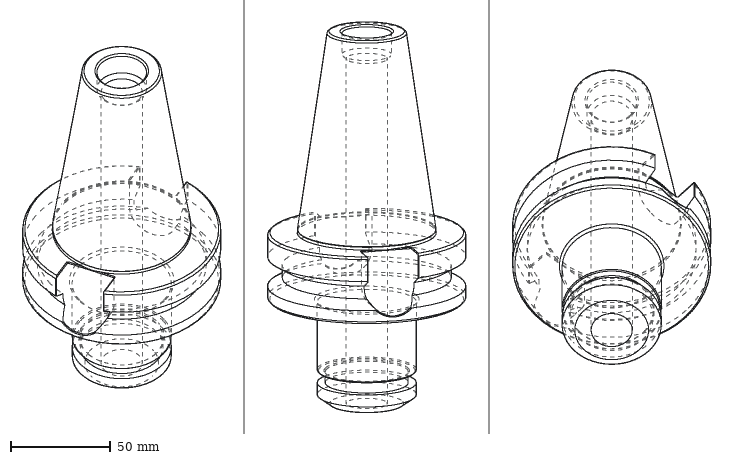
import cadquery as cq

TOTAL_HEIGHT = 193.8

SHANK_RADIUS = 25.0
SHANK_END_RADIUS = 18.6
END_BEVEL_HEIGHT = 4.7
RING_GROOVE_RADIUS = 21.0
RING_GROOVE_BOTTOM = 10.9
RING_GROOVE_TOP = 17.0
GROOVE_EDGE_BREAK = 0.5
SHANK_ROOT_FLARE = 1.4

FLANGE_RADIUS = 50.0
FLANGE_BOTTOM = 54.3
FLANGE_TOP = 89.0
FLANGE_EDGE_BREAK = 1.2
V_GROOVE_RADIUS = 42.6
V_GROOVE_LOWER_RIM = 61.2
V_GROOVE_FLOOR_BOTTOM = 65.5
V_GROOVE_FLOOR_TOP = 72.0
V_GROOVE_UPPER_RIM = 76.4

NECK_RADIUS = 34.7
NECK_WAIST = 90.3
NECK_FOOT_RADIUS = 35.0
TAPER_BASE = 90.7
TAPER_TOP_RADIUS = 20.0
TAPER_SLOPE = 7 / 48
TAPER_BASE_RADIUS = TAPER_TOP_RADIUS + (TOTAL_HEIGHT - TAPER_BASE) * TAPER_SLOPE
TAPER_EDGE_BREAK = 1.0

BORE_RADIUS = 20.7 / 2
COUNTERBORE_RADIUS = 25.0 / 2
COUNTERBORE_DEPTH = 12.0
BORE_MOUTH_BREAK = 1.0
COUNTERBORE_BOTTOM = TOTAL_HEIGHT - COUNTERBORE_DEPTH
SEAT_BOTTOM = COUNTERBORE_BOTTOM - (COUNTERBORE_RADIUS - BORE_RADIUS)

SLOT_WIDTH = 26.2
SLOT_FLOOR_OFFSET = 35.3
SLOT_BOTTOM = 58.0
SLOT_EDGE_BREAK = 0.48
SLOT_FLOOR_FILLET = 0.4
SLOT_ARC_CENTER = SLOT_BOTTOM + SLOT_WIDTH / 2


def revolve_profile(points):
    """Revolve a closed outline of (radius, height) points about Z."""
    return cq.Workplane("XZ").polyline(points).close().revolve(360, (0, 0), (0, 1))


def shank_and_taper():
    return revolve_profile([
        (0, 0),
        (SHANK_END_RADIUS, 0),
        (SHANK_RADIUS, END_BEVEL_HEIGHT),
        (SHANK_RADIUS, RING_GROOVE_BOTTOM),
        (RING_GROOVE_RADIUS, RING_GROOVE_BOTTOM),
        (RING_GROOVE_RADIUS, RING_GROOVE_TOP - GROOVE_EDGE_BREAK),
        (RING_GROOVE_RADIUS + GROOVE_EDGE_BREAK, RING_GROOVE_TOP),
        (SHANK_RADIUS - GROOVE_EDGE_BREAK, RING_GROOVE_TOP),
        (SHANK_RADIUS, RING_GROOVE_TOP + GROOVE_EDGE_BREAK),
        (SHANK_RADIUS, FLANGE_BOTTOM - SHANK_ROOT_FLARE),
        (SHANK_RADIUS + SHANK_ROOT_FLARE, FLANGE_BOTTOM),
        (NECK_FOOT_RADIUS, FLANGE_BOTTOM),
        (NECK_FOOT_RADIUS, FLANGE_TOP),
        (NECK_RADIUS, NECK_WAIST),
        (TAPER_BASE_RADIUS, TAPER_BASE),
        (TAPER_TOP_RADIUS + TAPER_EDGE_BREAK * TAPER_SLOPE, TOTAL_HEIGHT - TAPER_EDGE_BREAK),
        (TAPER_TOP_RADIUS - TAPER_EDGE_BREAK, TOTAL_HEIGHT),
        (0, TOTAL_HEIGHT),
    ])


def flange_envelope():
    return revolve_profile([
        (0, FLANGE_BOTTOM),
        (FLANGE_RADIUS - FLANGE_EDGE_BREAK, FLANGE_BOTTOM),
        (FLANGE_RADIUS, FLANGE_BOTTOM + FLANGE_EDGE_BREAK),
        (FLANGE_RADIUS, V_GROOVE_LOWER_RIM),
        (V_GROOVE_RADIUS, V_GROOVE_FLOOR_BOTTOM),
        (V_GROOVE_RADIUS, V_GROOVE_FLOOR_TOP),
        (FLANGE_RADIUS, V_GROOVE_UPPER_RIM),
        (FLANGE_RADIUS, FLANGE_TOP - FLANGE_EDGE_BREAK),
        (FLANGE_RADIUS - FLANGE_EDGE_BREAK, FLANGE_TOP),
        (0, FLANGE_TOP),
    ])


def drive_slot(side):
    """Round-bottomed slot cutter, open at the top; side is -1 or +1 along Y."""
    half_width = SLOT_WIDTH / 2
    cutter = (
        cq.Workplane("XZ", origin=(0, side * SLOT_FLOOR_OFFSET, 0))
        .moveTo(-half_width, TOTAL_HEIGHT)
        .lineTo(-half_width, SLOT_ARC_CENTER)
        .threePointArc((0, SLOT_BOTTOM), (half_width, SLOT_ARC_CENTER))
        .lineTo(half_width, TOTAL_HEIGHT)
        .close()
        .extrude(-side * FLANGE_RADIUS)
    )
    floor = "<Y" if side > 0 else ">Y"
    return cutter.faces(floor).edges().fillet(SLOT_FLOOR_FILLET)


def flange():
    """Slot a plain disc, break the outer slot edges, then trim to the flange outline."""
    disc = (
        cq.Workplane("XY", origin=(0, 0, FLANGE_BOTTOM))
        .circle(FLANGE_RADIUS)
        .extrude(FLANGE_TOP - FLANGE_BOTTOM)
    )
    for side in (-1, 1):
        disc = disc.cut(drive_slot(side))
    reach = SLOT_FLOOR_OFFSET + 2 * SLOT_FLOOR_FILLET
    for side in (-1, 1):
        near, far = sorted((side * reach, side * FLANGE_RADIUS))
        outline = cq.selectors.BoxSelector(
            (-SLOT_WIDTH, near, SLOT_BOTTOM), (SLOT_WIDTH, far, TOTAL_HEIGHT)
        )
        disc = disc.edges(outline).chamfer(SLOT_EDGE_BREAK)
    return disc.intersect(flange_envelope())


def bore():
    return revolve_profile([
        (0, 0),
        (BORE_RADIUS, 0),
        (BORE_RADIUS, SEAT_BOTTOM),
        (COUNTERBORE_RADIUS, COUNTERBORE_BOTTOM),
        (COUNTERBORE_RADIUS, TOTAL_HEIGHT - BORE_MOUTH_BREAK),
        (COUNTERBORE_RADIUS + BORE_MOUTH_BREAK, TOTAL_HEIGHT),
        (0, TOTAL_HEIGHT),
    ])


result = shank_and_taper().union(flange()).cut(bore())